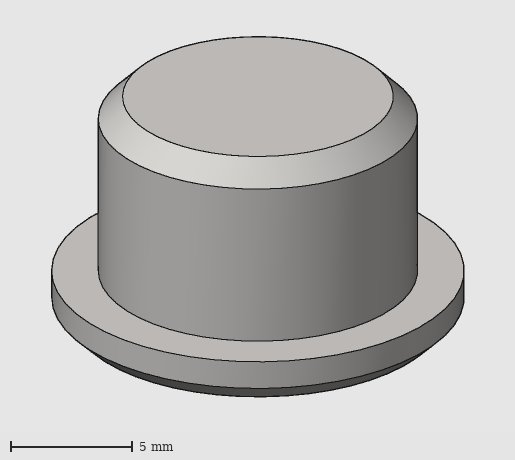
import cadquery as cq

flange_diameter = 17.0
flange_thickness = 2.0
flange_bevel_width = 0.8
flange_bevel_height = 0.78

plug_diameter = 13.15
plug_chamfer = 1.0
total_height = 10.0

flange_radius = flange_diameter / 2
plug_radius = plug_diameter / 2


def make_flange():
    """Solid flange resting on Z = 0, revolved about the Z axis."""
    half_section = [
        (0, 0),
        (flange_radius - flange_bevel_width, 0),
        (flange_radius, flange_bevel_height),
        (flange_radius, flange_thickness),
        (0, flange_thickness),
    ]
    return cq.Workplane("XZ").polyline(half_section).close().revolve(360, (0, 0), (0, 1))


def make_plug():
    """Solid cylinder on top of the flange, with its upper rim chamfered."""
    cylinder = (
        cq.Workplane("XY")
        .workplane(offset=flange_thickness)
        .circle(plug_radius)
        .extrude(total_height - flange_thickness)
    )
    return cylinder.faces(">Z").edges().chamfer(plug_chamfer)


result = make_flange().union(make_plug())